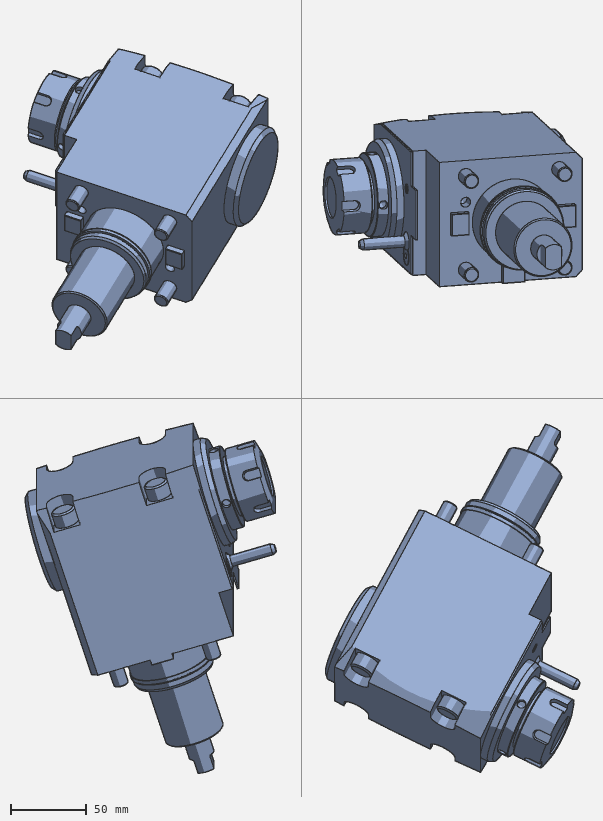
import cadquery as cq
import math


HALF_HEIGHT = 42.5
REAR_Y = 121.8
LEFT_X = -59.1
RIGHT_X = 48.0
STEP_X = -50.0
STEP_Y = 32.1
RIGHT_CHAMFER = 4.5

RELIEF_ANGLE = 15
RELIEF_DROP = 1.5
RELIEF_SAG = 3.3
RELIEF_HALF_WIDTH = (RIGHT_X - LEFT_X) / 2
RELIEF_REACH = 33.2
RELIEF_OVERHANG = 2.2

PLATE_THICKNESS = 1.0
PLATE_INSET = 0.7
PLATE_FACE_X = LEFT_X - PLATE_THICKNESS
TAB_END_Y = 20.8
TAB_BOTTOM_Z = -15.3
TAB_TOP_Z = 18.5

SCREW_SPACING = 64.0
STUD_DIAMETER = 10.0
STUD_LENGTH = 14.6
STUD_CHAMFER = 0.7
HEAD_RADIUS = 8.0
HEAD_HEIGHT = 10.0
HEAD_CHAMFER = 1.0
HEAD_POCKET_WIDTH = 18.2
HEAD_POCKET_DEPTH = 16.5

KEY_WIDTH = 15.0
KEY_INNER = 30.5
KEY_LENGTH = HALF_HEIGHT - KEY_INNER
KEY_HEIGHT = 4.0
KEY_CHAMFER = 0.5
DOWEL_RADIUS = 3.3
DOWEL_X = SCREW_SPACING / 2
DOWEL_Z = 14.0
DOWEL_DEPTH = 8.9
DRILL_POINT_ANGLE = 118

COLLAR_RADIUS = 27.5
COLLAR_LENGTH = 29.7
COLLAR_CHAMFER_LENGTH = 1.8
COLLAR_CHAMFER_DEPTH = 0.9
O_RING_RADIUS = 28.1
O_RING_START = 20.8
O_RING_END = 23.5
GROOVE_RADIUS = 26.5
GROOVE_END = 24.4
SHANK_RADIUS = 20.0
SHANK_END = 74.6
SHANK_CHAMFER = 0.9
DRIVE_RADIUS = 8.6
TANG_START = 90.0
TANG_END = 99.7
TANG_HALF_WIDTH = 5.5
TANG_ROOT_FILLET = 1.3

SPINDLE_Y = 85.5
FLANGE_RADIUS = REAR_Y - SPINDLE_Y
FLANGE_RIM_RADIUS = 34.8
FLANGE_CONE_LENGTH = 3.3
FLANGE_FACE_X = -68.5
SPINDLE_COLLAR_RADIUS = 28.0
SPINDLE_COLLAR_FACE_X = -76.0
SPINDLE_COLLAR_CHAMFER = 0.5
NECK_RADIUS = 20.4
COVER_RADIUS = 34.3
COVER_END_X = 57.4
COVER_CHAMFER = 2.7
SPANNER_HOLE_RADIUS = 2.9
SPANNER_HOLE_X = -72.0
SPANNER_HOLE_DEPTH = 3.5
SPANNER_HOLE_COUNT = 4

NUT_RADIUS = 25.0
NUT_BACK_X = -78.5
NUT_FACE_X = -100.3
NUT_FACE_RADIUS = 18.0
NUT_CONE_LENGTH = 2.2
NUT_BACK_CHAMFER = 0.7
NUT_RECESS_RADIUS = 13.7
NUT_RECESS_DEPTH = 1.3
NUT_SLOT_COUNT = 6
NUT_SLOT_WIDTH = 6.0
NUT_SLOT_END_X = -87.7
NUT_SLOT_WALL_ANGLE = 15
NUT_SLOT_FLOOR_RADIUS = 22.5

FITTING_Y = 43.5
PIPE_Z = -22.0
PIPE_RADIUS = 3.8
PIPE_TIP_X = -92.5
PIPE_TIP_RADIUS = 2.5
PIPE_TIP_LENGTH = 2.5
PIPE_FLARE_RADIUS = 6.5
PIPE_FLARE_X = -62.2
PIPE_BORE_RADIUS = 1.8
PIPE_BORE_DEPTH = 4.5
PLUG_Z = -32.0
PLUG_RADIUS = 6.2
PLUG_HEIGHT = 0.5
PLUG_SOCKET_RADIUS = 1.8
PLUG_SOCKET_DEPTH = 3.3
SET_SCREW_Z = DOWEL_Z
SET_SCREW_RADIUS = 3.0
SET_SCREW_RECESS = 0.7
SET_SCREW_SOCKET_RADIUS = 1.8
SET_SCREW_SOCKET_DEPTH = 3.3


def cylinder(radius, start, direction, length):
    """Cylinder that grows from a start point along a direction."""
    return cq.Workplane(cq.Solid.makeCylinder(radius, length, cq.Vector(*start), cq.Vector(*direction)))


def box_between(x_range, y_range, z_range):
    """Box given by its limits along X, Y and Z."""
    sizes = [high - low for low, high in (x_range, y_range, z_range)]
    corner = (x_range[0], y_range[0], z_range[0])
    return cq.Workplane("XY").box(*sizes, centered=False).translate(corner)


def turned_about_x(points, y, z):
    """Turned shape from (x, radius) points, on an axis along X through (y, z)."""
    profile = cq.Workplane("XY").polyline(points).close()
    return profile.revolve(360, (0, 0, 0), (1, 0, 0)).translate((0, y, z))


def drill(radius, depth, start, direction):
    """Drilled hole with a conical end, for cutting."""
    point_length = radius / math.tan(math.radians(DRILL_POINT_ANGLE / 2))
    axis = cq.Vector(*direction)
    cone_start = cq.Vector(*start) + axis * depth
    cone = cq.Solid.makeCone(radius, 0, point_length, cone_start, axis)
    return cylinder(radius, start, direction, depth).union(cq.Workplane(cone))


def make_block():
    outline = [
        (STEP_X, 0),
        (RIGHT_X, 0),
        (RIGHT_X, REAR_Y),
        (LEFT_X, REAR_Y),
        (LEFT_X, STEP_Y),
        (STEP_X, STEP_Y),
    ]
    block = cq.Workplane("XY").polyline(outline).close().extrude(HALF_HEIGHT, both=True)
    return block.edges("|Y and >X").chamfer(RIGHT_CHAMFER)


def make_cover_plate():
    half_height = HALF_HEIGHT - PLATE_INSET
    x_range = (PLATE_FACE_X, LEFT_X)
    plate = box_between(x_range, (STEP_Y + PLATE_INSET, REAR_Y), (-half_height, half_height))
    tab = box_between(x_range, (TAB_END_Y, REAR_Y), (TAB_BOTTOM_Z, TAB_TOP_Z))
    return plate.union(tab)


def make_rear_relief():
    """Material above a crowned slope that falls toward the rear edge of the top face."""
    angle = math.radians(RELIEF_ANGLE)
    slope = cq.Plane(
        origin=((LEFT_X + RIGHT_X) / 2, REAR_Y, HALF_HEIGHT - RELIEF_DROP),
        xDir=(1, 0, 0),
        normal=(0, -math.cos(angle), math.sin(angle)),
    )
    crown_radius = (RELIEF_HALF_WIDTH**2 + RELIEF_SAG**2) / (2 * RELIEF_SAG)
    half_width = RELIEF_HALF_WIDTH + RELIEF_OVERHANG
    edge_sag = crown_radius - math.sqrt(crown_radius**2 - half_width**2)
    return (
        cq.Workplane(slope)
        .moveTo(-half_width, -edge_sag)
        .threePointArc((0, 0), (half_width, -edge_sag))
        .lineTo(half_width, RELIEF_REACH)
        .lineTo(-half_width, RELIEF_REACH)
        .close()
        .extrude(RELIEF_REACH, both=True)
    )


def make_head_pocket(x, side):
    """U-shaped pocket for a screw head, open to the rear and to the top or bottom."""
    floor_y = REAR_Y - HEAD_POCKET_DEPTH
    z = side * SCREW_SPACING / 2
    half_width = HEAD_POCKET_WIDTH / 2
    bore = cylinder(half_width, (x, floor_y, z), (0, 1, 0), HEAD_POCKET_DEPTH)
    z_range = sorted((z, side * HALF_HEIGHT))
    opening = box_between((x - half_width, x + half_width), (floor_y, REAR_Y), z_range)
    return bore.union(opening)


def make_screw_head(x, z):
    floor_y = REAR_Y - HEAD_POCKET_DEPTH
    head = cylinder(HEAD_RADIUS, (x, floor_y, z), (0, 1, 0), HEAD_HEIGHT)
    return head.faces(">Y").chamfer(HEAD_CHAMFER)


def make_stud(x, z):
    stud = cylinder(STUD_DIAMETER / 2, (x, 0, z), (0, -1, 0), STUD_LENGTH)
    return stud.faces("<Y").chamfer(STUD_CHAMFER)


def make_key(turn):
    """Key on the mounting face, turned about the shank axis from the +X side."""
    key = box_between(
        (KEY_INNER, KEY_INNER + KEY_LENGTH),
        (-KEY_HEIGHT, 0),
        (-KEY_WIDTH / 2, KEY_WIDTH / 2),
    )
    key = key.faces("<Y").chamfer(KEY_CHAMFER)
    return key.rotate((0, 0, 0), (0, 1, 0), turn)


def make_shank():
    """Turned shank with its O-ring, from (radius, y) points."""
    profile = [
        (0, 0),
        (COLLAR_RADIUS, 0),
        (COLLAR_RADIUS, -O_RING_START),
        (O_RING_RADIUS, -O_RING_START),
        (O_RING_RADIUS, -O_RING_END),
        (GROOVE_RADIUS, -O_RING_END),
        (GROOVE_RADIUS, -GROOVE_END),
        (COLLAR_RADIUS, -GROOVE_END),
        (COLLAR_RADIUS, -COLLAR_LENGTH + COLLAR_CHAMFER_LENGTH),
        (COLLAR_RADIUS - COLLAR_CHAMFER_DEPTH, -COLLAR_LENGTH),
        (SHANK_RADIUS, -COLLAR_LENGTH),
        (SHANK_RADIUS, -SHANK_END + SHANK_CHAMFER),
        (SHANK_RADIUS - SHANK_CHAMFER, -SHANK_END),
        (0, -SHANK_END),
    ]
    return cq.Workplane("XY").polyline(profile).close().revolve(360, (0, 0, 0), (0, 1, 0))


def make_drive_tang():
    """Round drive end with a flat on each side, rounded at the root of the flats."""
    tang = cylinder(DRIVE_RADIUS, (0, -SHANK_END, 0), (0, -1, 0), TANG_END - SHANK_END)
    beside_flat = box_between(
        (TANG_HALF_WIDTH, DRIVE_RADIUS),
        (-TANG_END, -TANG_START),
        (-DRIVE_RADIUS, DRIVE_RADIUS),
    )
    beside_flat = beside_flat.faces("<X").edges(">Y").fillet(TANG_ROOT_FILLET)
    return tang.cut(beside_flat).cut(beside_flat.mirror("YZ"))


def make_spindle_front():
    """Flange, spanner collar and neck on the left face."""
    profile = [
        (LEFT_X, 0),
        (LEFT_X, FLANGE_RADIUS),
        (FLANGE_FACE_X + FLANGE_CONE_LENGTH, FLANGE_RADIUS),
        (FLANGE_FACE_X, FLANGE_RIM_RADIUS),
        (FLANGE_FACE_X, SPINDLE_COLLAR_RADIUS),
        (SPINDLE_COLLAR_FACE_X + SPINDLE_COLLAR_CHAMFER, SPINDLE_COLLAR_RADIUS),
        (SPINDLE_COLLAR_FACE_X, SPINDLE_COLLAR_RADIUS - SPINDLE_COLLAR_CHAMFER),
        (SPINDLE_COLLAR_FACE_X, NECK_RADIUS),
        (NUT_BACK_X, NECK_RADIUS),
        (NUT_BACK_X, 0),
    ]
    spindle = turned_about_x(profile, SPINDLE_Y, 0)
    top = (SPANNER_HOLE_X, SPINDLE_Y, SPINDLE_COLLAR_RADIUS)
    hole = drill(SPANNER_HOLE_RADIUS, SPANNER_HOLE_DEPTH, top, (0, 0, -1))
    for i in range(SPANNER_HOLE_COUNT):
        turn = i * 360 / SPANNER_HOLE_COUNT
        spindle = spindle.cut(hole.rotate((0, SPINDLE_Y, 0), (1, SPINDLE_Y, 0), turn))
    return spindle


def make_rear_cover():
    """Round bearing cover on the right face."""
    cover = cylinder(COVER_RADIUS, (RIGHT_X, SPINDLE_Y, 0), (1, 0, 0), COVER_END_X - RIGHT_X)
    return cover.faces(">X").chamfer(COVER_CHAMFER)


def make_coolant_pipe():
    profile = [
        (PLATE_FACE_X, 0),
        (PLATE_FACE_X, PIPE_FLARE_RADIUS),
        (PIPE_FLARE_X, PIPE_RADIUS),
        (PIPE_TIP_X + PIPE_TIP_LENGTH, PIPE_RADIUS),
        (PIPE_TIP_X, PIPE_TIP_RADIUS),
        (PIPE_TIP_X, PIPE_BORE_RADIUS),
        (PIPE_TIP_X + PIPE_BORE_DEPTH, PIPE_BORE_RADIUS),
        (PIPE_TIP_X + PIPE_BORE_DEPTH, 0),
    ]
    return turned_about_x(profile, FITTING_Y, PIPE_Z)


def add_plate_fittings(body):
    """Raised socket plug and sunk set screw on the cover plate."""
    inward = (1, 0, 0)
    plug_start = (PLATE_FACE_X - PLUG_HEIGHT, FITTING_Y, PLUG_Z)
    screw_start = (PLATE_FACE_X, FITTING_Y, SET_SCREW_Z)
    body = body.union(cylinder(PLUG_RADIUS, plug_start, inward, PLUG_HEIGHT))
    body = body.cut(cylinder(PLUG_SOCKET_RADIUS, plug_start, inward, PLUG_SOCKET_DEPTH))
    body = body.cut(cylinder(SET_SCREW_RADIUS, screw_start, inward, SET_SCREW_RECESS))
    return body.cut(cylinder(SET_SCREW_SOCKET_RADIUS, screw_start, inward, SET_SCREW_SOCKET_DEPTH))


def make_housing():
    body = make_block().union(make_cover_plate())
    relief = make_rear_relief()
    body = body.cut(relief).cut(relief.mirror("XY"))

    for x in (-SCREW_SPACING / 2, SCREW_SPACING / 2):
        for side in (-1, 1):
            z = side * SCREW_SPACING / 2
            body = body.cut(make_head_pocket(x, side))
            body = body.union(make_screw_head(x, z)).union(make_stud(x, z))

    for turn in (0, 90, 180):
        body = body.union(make_key(turn))

    body = body.cut(drill(DOWEL_RADIUS, DOWEL_DEPTH, (-DOWEL_X, 0, DOWEL_Z), (0, 1, 0)))
    body = body.cut(cylinder(DOWEL_RADIUS, (DOWEL_X, 0, -DOWEL_Z), (0, 1, 0), DOWEL_DEPTH))

    body = body.union(make_shank()).union(make_drive_tang())
    body = body.union(make_spindle_front()).union(make_rear_cover())
    body = add_plate_fittings(body)
    return body.union(make_coolant_pipe())


def make_nut_slot():
    """Spanner slot with a round end and flared walls, on the top of the nut."""
    half_width = NUT_SLOT_WIDTH / 2
    end_center_x = NUT_SLOT_END_X - half_width
    height = NUT_RADIUS - NUT_SLOT_FLOOR_RADIUS
    return (
        cq.Workplane("XY", origin=(0, SPINDLE_Y, NUT_SLOT_FLOOR_RADIUS))
        .moveTo(NUT_FACE_X, -half_width)
        .lineTo(end_center_x, -half_width)
        .threePointArc((NUT_SLOT_END_X, 0), (end_center_x, half_width))
        .lineTo(NUT_FACE_X, half_width)
        .close()
        .extrude(height, taper=-NUT_SLOT_WALL_ANGLE)
    )


def make_nut():
    profile = [
        (NUT_BACK_X, 0),
        (NUT_BACK_X, NUT_RADIUS - NUT_BACK_CHAMFER),
        (NUT_BACK_X - NUT_BACK_CHAMFER, NUT_RADIUS),
        (NUT_FACE_X + NUT_CONE_LENGTH, NUT_RADIUS),
        (NUT_FACE_X, NUT_FACE_RADIUS),
        (NUT_FACE_X, NUT_RECESS_RADIUS),
        (NUT_FACE_X + NUT_RECESS_DEPTH, NUT_RECESS_RADIUS),
        (NUT_FACE_X + NUT_RECESS_DEPTH, 0),
    ]
    body = turned_about_x(profile, SPINDLE_Y, 0)
    slot = make_nut_slot()
    for i in range(NUT_SLOT_COUNT):
        turn = 90 + i * 360 / NUT_SLOT_COUNT
        body = body.cut(slot.rotate((0, SPINDLE_Y, 0), (1, SPINDLE_Y, 0), turn))
    return body


housing = make_housing()
nut = make_nut()
result = cq.Compound.makeCompound([housing.val(), nut.val()])